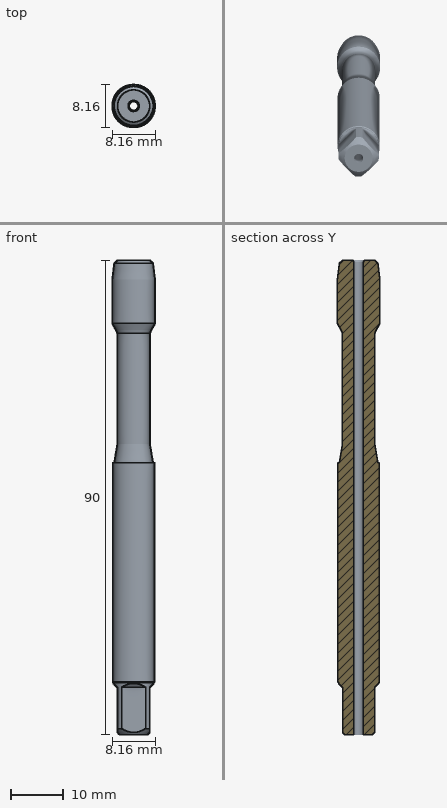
import cadquery as cq
import math

TOTAL_LENGTH = 90.0

BORE_DIA = 1.7
BORE_MOUTH_DIA = 2.1
BORE_MOUTH_DEPTH = 0.4

HEAD_DIA = 8.16
TIP_FACE_DIA = 6.1
TIP_CONE_DIA = 7.4
TIP_CHAMFER_HEIGHT = 0.6
HEAD_CONE_BOTTOM_Z = 86.3
HEAD_BOTTOM_Z = 78.0
HEAD_RELIEF_DIA = 6.7
HEAD_RELIEF_Z = 76.7

NECK_DIA = 6.23
NECK_TOP_Z = 76.1
NECK_BOTTOM_Z = 55.1
SHANK_CONE_DIA = 7.4
SHANK_TOP_Z = 51.6

SHANK_DIA = 8.0
SHANK_BOTTOM_Z = 9.9
SHANK_CHAMFER_ANGLE = 45.0

DRIVE_CORNER_DIA = 7.68
DRIVE_ACROSS_FLATS = 6.2
FLAT_TOP_Z = 9.0
FLAT_RUNOUT_ANGLE = 45.0
END_FACE_DIA = 5.3
END_CHAMFER_ANGLE = 45.0
NUMBER_OF_FLATS = 4


def chamfer_height(small_dia, large_dia, angle):
    """Axial height of a conical chamfer whose side leans by the angle from the axis."""
    width = (large_dia - small_dia) / 2
    return width / math.tan(math.radians(angle))


def make_turned_body():
    """Revolve the half outline of the round tool about the Z axis."""
    end_chamfer_height = chamfer_height(END_FACE_DIA, DRIVE_CORNER_DIA, END_CHAMFER_ANGLE)
    shank_chamfer_height = chamfer_height(DRIVE_CORNER_DIA, SHANK_DIA, SHANK_CHAMFER_ANGLE)
    diameter_and_height = [
        (0, 0),
        (END_FACE_DIA, 0),
        (DRIVE_CORNER_DIA, end_chamfer_height),
        (DRIVE_CORNER_DIA, SHANK_BOTTOM_Z),
        (SHANK_DIA, SHANK_BOTTOM_Z + shank_chamfer_height),
        (SHANK_DIA, SHANK_TOP_Z),
        (SHANK_CONE_DIA, SHANK_TOP_Z),
        (NECK_DIA, NECK_BOTTOM_Z),
        (NECK_DIA, NECK_TOP_Z),
        (HEAD_RELIEF_DIA, HEAD_RELIEF_Z),
        (HEAD_DIA, HEAD_BOTTOM_Z),
        (HEAD_DIA, HEAD_CONE_BOTTOM_Z),
        (TIP_CONE_DIA, TOTAL_LENGTH - TIP_CHAMFER_HEIGHT),
        (TIP_FACE_DIA, TOTAL_LENGTH),
        (0, TOTAL_LENGTH),
    ]
    outline = [(diameter / 2, height) for diameter, height in diameter_and_height]
    return cq.Workplane("XZ").polyline(outline).close().revolve(360, (0, 0), (0, 1))


def make_flat_cutter():
    """Block that mills the +X flat of the drive, with a sloped run-out at its upper end."""
    flat_x = DRIVE_ACROSS_FLATS / 2
    outer_x = SHANK_DIA
    runout_height = (outer_x - flat_x) * math.tan(math.radians(FLAT_RUNOUT_ANGLE))
    outline = [
        (flat_x, 0),
        (outer_x, 0),
        (outer_x, FLAT_TOP_Z + runout_height),
        (flat_x, FLAT_TOP_Z),
    ]
    return cq.Workplane("XZ").polyline(outline).close().extrude(SHANK_DIA / 2, both=True)


def cut_square_drive(body):
    """Mill equally spaced flats around the lower end."""
    cutter = make_flat_cutter()
    for index in range(NUMBER_OF_FLATS):
        angle = index * 360 / NUMBER_OF_FLATS
        body = body.cut(cutter.rotate((0, 0, 0), (0, 0, 1), angle))
    return body


def cut_bore(body):
    """Drill the axial bore through the whole length, with a conical mouth at the tip."""
    mouth_z = TOTAL_LENGTH - BORE_MOUTH_DEPTH
    outline = [
        (0, 0),
        (BORE_DIA / 2, 0),
        (BORE_DIA / 2, mouth_z),
        (BORE_MOUTH_DIA / 2, TOTAL_LENGTH),
        (0, TOTAL_LENGTH),
    ]
    bore = cq.Workplane("XZ").polyline(outline).close().revolve(360, (0, 0), (0, 1))
    return body.cut(bore)


result = cut_bore(cut_square_drive(make_turned_body()))